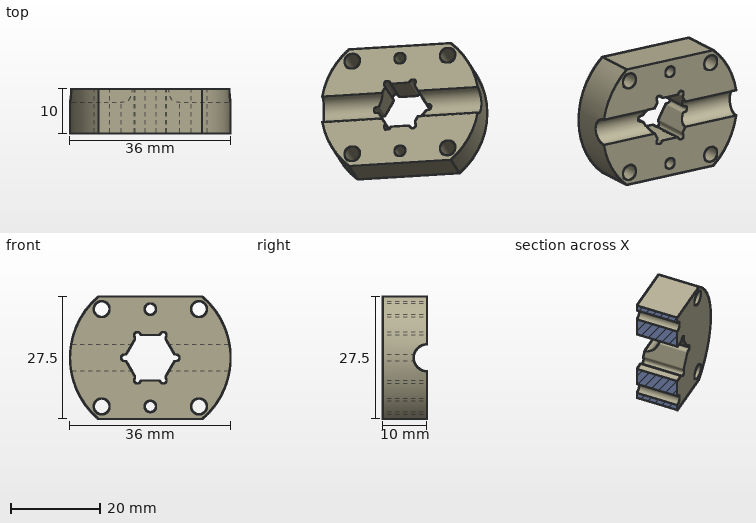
import cadquery as cq
import math

body_diameter = 36.0
height_across_flats = 27.5
thickness = 10.0

hexagon_sides = 6
bore_across_flats = 10.1
corner_relief_radius = 0.7
relief_blend_radius = 0.5

hole_spacing = 21.8
corner_hole_diameter = 3.5
middle_hole_diameter = 2.5

groove_radius = 3.0


def front_plane():
    """Work plane on the front face, with local x along +X and local y along +Z."""
    return cq.Workplane("XZ")


def through_thickness(sketch):
    """Extrude from the front face at Y = 0 to the back face."""
    return sketch.extrude(-thickness)


def make_body():
    disc = through_thickness(front_plane().circle(body_diameter / 2))
    flats = through_thickness(front_plane().rect(body_diameter, height_across_flats))
    return disc.intersect(flats)


def make_bore():
    """Hexagon with two corners on the X axis and a blended relief circle on every corner."""
    corner_distance = bore_across_flats / math.sqrt(3)
    hexagon = through_thickness(front_plane().polygon(hexagon_sides, 2 * corner_distance))
    reliefs = through_thickness(
        front_plane()
        .polarArray(corner_distance, 0, 360, hexagon_sides)
        .circle(corner_relief_radius)
    )

    half_flat = corner_distance / 2 - corner_relief_radius
    junction_distance = math.hypot(bore_across_flats / 2, half_flat)
    tolerance = 0.01

    def is_junction(edge):
        center = edge.Center()
        return abs(math.hypot(center.x, center.z) - junction_distance) < tolerance

    junctions = hexagon.union(reliefs).edges("|Y").filter(is_junction)
    return junctions.fillet(relief_blend_radius)


def make_holes():
    """Four holes on the corners of a square and two smaller ones midway along its top and bottom."""
    corner_holes = through_thickness(
        front_plane()
        .rarray(hole_spacing, hole_spacing, 2, 2)
        .circle(corner_hole_diameter / 2)
    )
    middle_holes = through_thickness(
        front_plane()
        .rarray(hole_spacing, hole_spacing, 1, 2)
        .circle(middle_hole_diameter / 2)
    )
    return corner_holes.union(middle_holes)


def make_groove():
    """Cylinder along X, centered on the back face."""
    return (
        cq.Workplane("YZ", origin=(-body_diameter / 2, thickness, 0))
        .circle(groove_radius)
        .extrude(body_diameter)
    )


result = make_body().cut(make_bore()).cut(make_holes()).cut(make_groove())